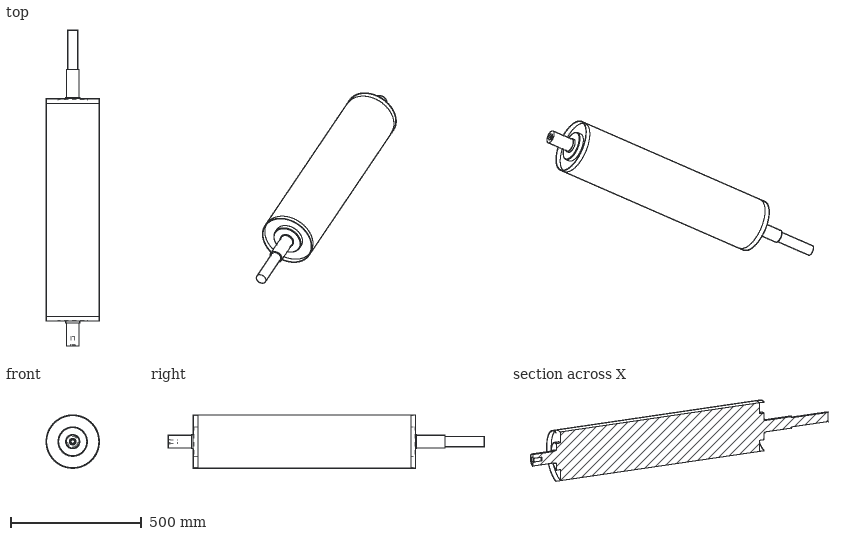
import cadquery as cq

length = 1210.0
front_end = -length / 2
rear_end = length / 2

tube_diameter = 205.0
tube_bore = 200.0
front_journal_length = 95.0
rear_shaft_length = 263.0
recess_depth = 18.0
tube_front = front_end + front_journal_length
tube_rear = rear_end - rear_shaft_length

hub_diameter = 113.0
hub_height = 18.0
hub_chamfer = 2.0

collar_diameter = 55.0
front_collar_projection = 7.0
rear_collar_projection = 4.0
journal_diameter = 50.0
drive_diameter = 40.0
drive_length = 150.0

centre_mouth = 25.0
centre_counterbore = 17.0
centre_drill = 13.0
countersink_depth = 4.0
counterbore_depth = 7.0
centre_depth = 36.0


def cylinder(diameter, start, end):
    """Solid cylinder on the Y axis between two Y positions."""
    plane = cq.Plane(origin=(0, start, 0), xDir=(1, 0, 0), normal=(0, 1, 0))
    return cq.Workplane(plane).circle(diameter / 2).extrude(end - start)


def roller_body():
    """Tube closed by recessed end plates, each carrying a hub."""
    plate_front = tube_front + recess_depth
    plate_rear = tube_rear - recess_depth
    body = cylinder(tube_diameter, tube_front, tube_rear)
    body = body.cut(cylinder(tube_bore, tube_front, plate_front))
    body = body.cut(cylinder(tube_bore, plate_rear, tube_rear))
    hubs = cylinder(hub_diameter, plate_front - hub_height, plate_rear + hub_height)
    hubs = hubs.faces("<Y or >Y").chamfer(hub_chamfer)
    return body.union(hubs)


def shaft():
    """Stepped shaft with a collar projecting past each end of the tube."""
    journal = cylinder(journal_diameter, front_end, rear_end - drive_length)
    drive = cylinder(drive_diameter, rear_end - drive_length, rear_end)
    collar_front = tube_front - front_collar_projection
    collar_rear = tube_rear + rear_collar_projection
    collars = cylinder(collar_diameter, collar_front, collar_rear)
    return journal.union(drive).union(collars)


def centre_hole():
    """Countersunk, stepped centre hole in the front shaft end."""
    profile = (
        cq.Workplane("XY")
        .moveTo(0, front_end)
        .lineTo(centre_mouth / 2, front_end)
        .lineTo(centre_counterbore / 2, front_end + countersink_depth)
        .lineTo(centre_counterbore / 2, front_end + counterbore_depth)
        .lineTo(centre_drill / 2, front_end + counterbore_depth)
        .lineTo(centre_drill / 2, front_end + centre_depth)
        .lineTo(0, front_end + centre_depth)
        .close()
    )
    return profile.revolve(360, (0, 0, 0), (0, 1, 0))


result = roller_body().union(shaft()).cut(centre_hole())